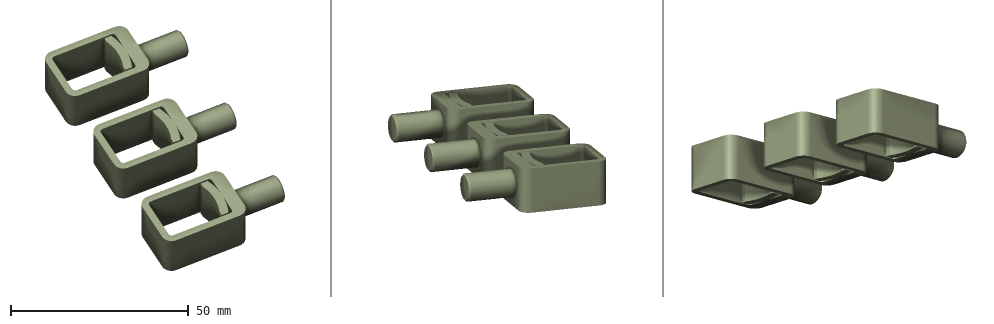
import cadquery as cq

ROW_LENGTH = 78.0
CLAMP_COUNT = 3

FRAME_WIDTH = 18.0
FRAME_LENGTH = 26.0
FRAME_HEIGHT = 13.0
FRAME_CORNER_RADIUS = 3.0
WALL = 2.0
SHANK_WALL = 4.0
WINDOW_CORNER_RADIUS = 1.0

TOTAL_LENGTH = 40.0
SHANK_DIAMETER = 8.0
SHANK_CHAMFER = 0.5
BOSS_DIAMETER = 5.0
BOSS_HEIGHT = 1.0

PLATE_WIDTH = 13.0
PLATE_HEIGHT = FRAME_HEIGHT
PLATE_THICKNESS = 2.5
PLATE_DROP = 1.25
PLATE_END_THICKNESS = 2.2
HOLLOW_WIDTH = 10.3

PITCH = (ROW_LENGTH - FRAME_WIDTH) / (CLAMP_COUNT - 1)
WINDOW_WIDTH = FRAME_WIDTH - 2 * WALL
WINDOW_BACK = FRAME_LENGTH - SHANK_WALL
WINDOW_LENGTH = WINDOW_BACK - WALL
SHANK_LENGTH = TOTAL_LENGTH - FRAME_LENGTH


def upright_block(width, front, length, corner_radius):
    """Frame-high block with rounded vertical edges, its front face at Y = front."""
    return (
        cq.Workplane("XY")
        .center(0, front + length / 2)
        .rect(width, length)
        .extrude(FRAME_HEIGHT / 2, both=True)
        .edges("|Z")
        .fillet(corner_radius)
    )


def rod(diameter, start, length):
    """Cylinder along +Y from Y = start, on the axis of the clamp."""
    radius = diameter / 2
    return cq.Workplane(cq.Solid.makeCylinder(radius, length, cq.Vector(0, start, 0), cq.Vector(0, 1, 0)))


def make_frame():
    """Frame with its shank and boss as one solid."""
    outside = upright_block(FRAME_WIDTH, 0, FRAME_LENGTH, FRAME_CORNER_RADIUS)
    window = upright_block(WINDOW_WIDTH, WALL, WINDOW_LENGTH, WINDOW_CORNER_RADIUS)
    shank = rod(SHANK_DIAMETER, FRAME_LENGTH, SHANK_LENGTH).faces(">Y").chamfer(SHANK_CHAMFER)
    boss = rod(BOSS_DIAMETER, WALL, BOSS_HEIGHT)
    return outside.cut(window).union(shank).union(boss)


def make_plate():
    """Arched plate whose crown touches the thick wall of the frame."""
    half_width = PLATE_WIDTH / 2
    half_hollow = HOLLOW_WIDTH / 2
    shoulder = WINDOW_BACK - PLATE_DROP
    foot = shoulder - PLATE_END_THICKNESS
    return (
        cq.Workplane("XY")
        .moveTo(-half_width, shoulder)
        .threePointArc((0, WINDOW_BACK), (half_width, shoulder))
        .lineTo(half_width, foot)
        .lineTo(half_hollow, foot)
        .threePointArc((0, WINDOW_BACK - PLATE_THICKNESS), (-half_hollow, foot))
        .lineTo(-half_width, foot)
        .close()
        .extrude(PLATE_HEIGHT / 2, both=True)
    )


frame = make_frame()
plate = make_plate()

bodies = []
for index in range(CLAMP_COUNT):
    offset = cq.Vector((index - (CLAMP_COUNT - 1) / 2) * PITCH, 0, 0)
    bodies.append(frame.translate(offset).val())
    bodies.append(plate.translate(offset).val())

result = cq.Compound.makeCompound(bodies)